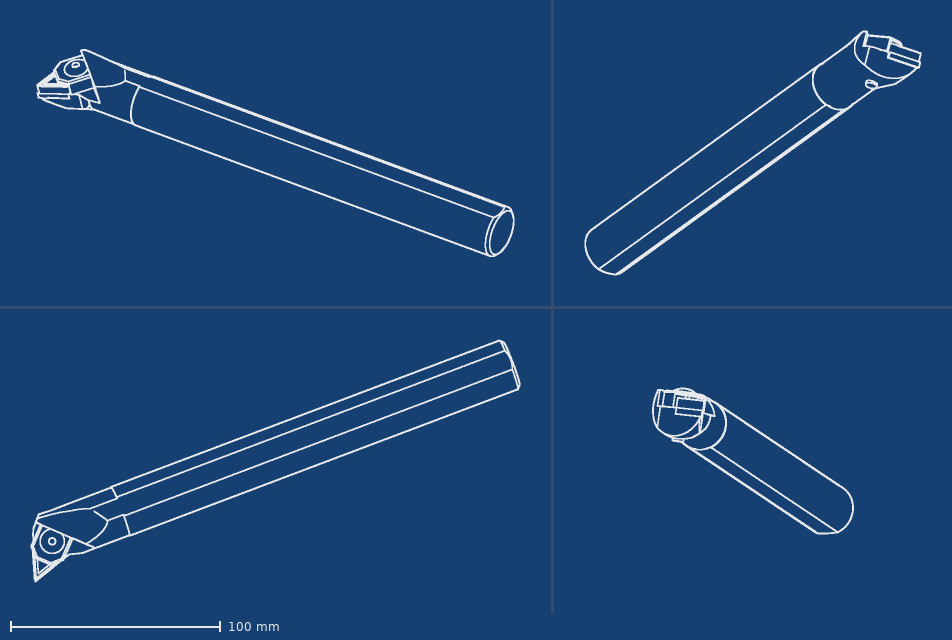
import cadquery as cq
import math

total_length = 250.0
shank_diameter = 25.0
shank_start = 50.0
shank_flat = 11.5
shank_end_chamfer = 1.5
neck_radius = 12.25

head_radius = 14.8
head_offset = head_radius - shank_diameter / 2
head_end = 13.0
head_taper_end = 26.5

scallop_tilt = 12.0
scallop_start = (13.0, 6.0, 8.8)
scallop_radius = 90.0
scallop_arc_angle = 45.0

tip_x = -0.4
tip_y = -17.41
insert_rise_x = 6.0
insert_rise_y = 11.0
slope_x = math.tan(math.radians(insert_rise_x))
slope_y = math.tan(math.radians(insert_rise_y))
insert_half_angle = 27.5
insert_edge = 15.5
insert_thickness = 4.76
insert_nose_radius = 0.8
groove_depth = 0.3
groove_outer_inset = 0.8
groove_inner_inset = 2.0

wall_distance = 26.3
shim_thickness = 3.0
shim_inset = 0.05
clamp_half_width = 8.3
clamp_top = 3.3
clamp_shoulder = 15.0
clamp_plate_thickness = 1.6
clamp_nose_distance = 10.6
clamp_bevel = 0.9
clamp_nose_half_width = 4.0
nose_block_half_width = 2.2
nose_block_inset = 0.8
screw_distance = 21.2
screw_head_radius = 5.8
screw_head_height = 2.2
screw_socket_radius = 1.6
screw_socket_depth = 2.5
screw_tail_radius = 2.7
screw_tail_depth = 19.95

relief_tip = (1.5, 0)
relief_side_corner = (18.4, -9.7)
relief_side_end = (22.2, -16.5)
relief_front_end = (20.3, 9.9)
relief_front_bevel = (23.2, 10.9)
relief_back_start = (29.6, 11.0)
relief_back_run_out = (64.0, 17.5)

reach = 80.0

insert_frame = cq.Plane(
    origin=(tip_x, tip_y, 0),
    xDir=(1, 1, slope_x + slope_y),
    normal=(-slope_x, -slope_y, 1),
)


def at_height(height):
    return cq.Workplane(insert_frame).workplane(offset=height)


def rhombus(height, inset):
    """Outline of the insert moved inwards by inset, drawn at a height in the insert frame."""
    angle = math.radians(insert_half_angle)
    centre = insert_edge * math.cos(angle)
    half_long = centre - inset / math.sin(angle)
    half_short = half_long * math.tan(angle)
    points = [
        (centre - half_long, 0),
        (centre, -half_short),
        (centre + half_long, 0),
        (centre, half_short),
    ]
    return at_height(height).polyline(points).close()


def make_insert_blank():
    blank = rhombus(-insert_thickness, 0).extrude(insert_thickness)
    edges = cq.selectors.ParallelDirSelector(insert_frame.zDir)
    return blank.edges(edges).fillet(insert_nose_radius)


def make_chip_groove():
    outer = rhombus(-groove_depth, groove_outer_inset).extrude(2 * groove_depth)
    inner = rhombus(-groove_depth, groove_inner_inset).extrude(2 * groove_depth)
    return outer.cut(inner)


def make_shank():
    length = total_length - shank_start
    shank = cq.Workplane("YZ", origin=(shank_start, 0, 0)).circle(shank_diameter / 2).extrude(length)
    shank = shank.faces(">X").chamfer(shank_end_chamfer)
    flats = cq.Workplane("XY").box(3 * total_length, 2 * shank_diameter, 2 * shank_flat)
    return shank.intersect(flats)


def make_neck_and_head():
    neck = cq.Workplane("YZ").circle(neck_radius).extrude(shank_start)
    head = cq.Workplane("YZ", origin=(0, -head_offset, 0)).circle(head_radius).extrude(head_end)
    taper = (
        cq.Workplane("YZ", origin=(head_end, -head_offset, 0)).circle(head_radius)
        .workplane(offset=head_taper_end - head_end).center(head_offset, 0).circle(neck_radius)
        .loft(ruled=True)
    )
    top_cut = cq.Workplane("XY", origin=(0, 0, shank_flat)).rect(2 * reach, reach).extrude(reach)
    return neck.union(head).union(taper).cut(top_cut)


def make_relief_outline():
    """Prism that trims the head: its walls are square to the insert face."""
    points = [
        relief_tip,
        relief_side_corner,
        relief_side_end,
        (relief_side_end[0], -reach),
        (reach, -reach),
        (reach, reach),
        relief_back_run_out,
        relief_back_start,
        relief_front_bevel,
        relief_front_end,
    ]
    return at_height(-reach).polyline(points).close().extrude(2 * reach)


def make_seat_cut():
    """Everything above the ledge, from the tip back to the seat wall."""
    return (
        at_height(-insert_thickness)
        .center(wall_distance - reach / 2, 0).rect(reach, reach).extrude(reach)
    )


def make_scallop():
    def arc_point(degrees):
        angle = math.radians(degrees)
        return (scallop_radius * math.sin(angle), scallop_radius * (1 - math.cos(angle)))

    end = arc_point(scallop_arc_angle)
    frame = cq.Plane(origin=scallop_start, xDir=(1, 0, 0), normal=(0, -1, 0))
    frame = frame.rotated((scallop_tilt, 0, 0))
    return (
        cq.Workplane(frame)
        .moveTo(-reach, 0).lineTo(0, 0)
        .threePointArc(arc_point(scallop_arc_angle / 2), end)
        .lineTo(end[0], reach).lineTo(-reach, reach).close()
        .extrude(reach, both=True)
    )


def make_clamp():
    bevel_height = clamp_top - clamp_bevel
    block_length = wall_distance - clamp_shoulder
    block = (
        at_height(-insert_thickness)
        .center(clamp_shoulder + block_length / 2, 0).rect(block_length, 2 * clamp_half_width)
        .extrude(insert_thickness + bevel_height)
    )
    outline = [
        (clamp_nose_distance, -clamp_nose_half_width),
        (clamp_shoulder, -clamp_half_width),
        (wall_distance + clamp_bevel, -clamp_half_width),
        (wall_distance + clamp_bevel, clamp_half_width),
        (clamp_shoulder, clamp_half_width),
        (clamp_nose_distance, clamp_nose_half_width),
    ]
    plate = (
        at_height(clamp_top - clamp_plate_thickness)
        .polyline(outline).close().extrude(clamp_plate_thickness - clamp_bevel)
    )
    bevel = at_height(bevel_height).polyline(outline).close().extrude(clamp_bevel, taper=45)
    nose_start = clamp_nose_distance + nose_block_inset
    nose_length = clamp_shoulder - nose_start
    nose = (
        at_height(0)
        .center(nose_start + nose_length / 2, 0).rect(nose_length, 2 * nose_block_half_width)
        .extrude(bevel_height)
    )
    clamp = block.union(plate).union(nose).union(bevel)
    return clamp.intersect(make_seat_cut())


def make_screw_head():
    """Domed head cut off at the seat wall, and the cutter for its socket."""
    crown_radius = (screw_head_radius ** 2 + screw_head_height ** 2) / (2 * screw_head_height)
    disc = (
        at_height(clamp_top)
        .center(screw_distance, 0).circle(screw_head_radius).extrude(screw_head_height)
    )
    crown_centre = insert_frame.toWorldCoords(
        (screw_distance, 0, clamp_top + screw_head_height - crown_radius)
    )
    crown = cq.Workplane("XY").sphere(crown_radius).translate(crown_centre)
    socket = (
        at_height(clamp_top + screw_head_height - screw_socket_depth)
        .center(screw_distance, 0).circle(screw_socket_radius).extrude(2 * screw_socket_depth)
    )
    dome = disc.intersect(crown).intersect(make_seat_cut())
    return dome, socket


def make_screw_tail():
    tail_length = screw_tail_depth - insert_thickness - shim_thickness
    return (
        at_height(-screw_tail_depth)
        .center(screw_distance, 0).circle(screw_tail_radius).extrude(tail_length)
    )


def make_holder():
    head = make_neck_and_head().intersect(make_relief_outline())
    head = head.cut(make_seat_cut()).cut(make_scallop())
    shim_height = -insert_thickness - shim_thickness
    shim = rhombus(shim_height, shim_inset).extrude(shim_thickness)
    screw_head, screw_socket = make_screw_head()
    holder = head.union(make_shank()).union(shim).union(make_clamp())
    holder = holder.union(screw_head).cut(screw_socket).union(make_screw_tail())
    return holder.cut(make_insert_blank())


insert = make_insert_blank().cut(make_chip_groove())
holder = make_holder()

result = cq.Compound.makeCompound([*holder.vals(), *insert.vals()])